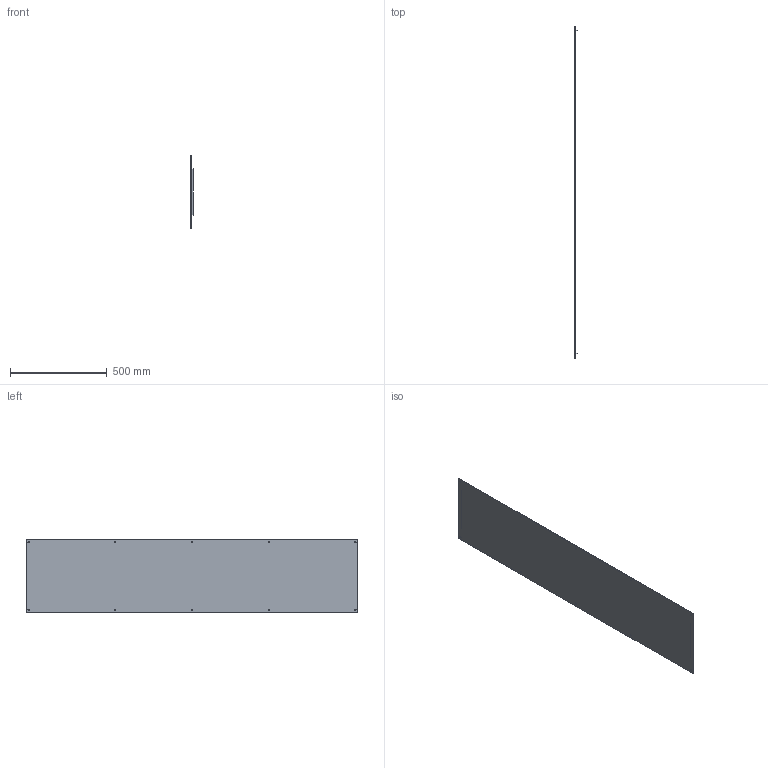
import cadquery as cq

panel_length = 1717.0
panel_height = 380.0
panel_thickness = 2.5
total_depth = 12.0

flange_thickness = 2.0
flange_height = 240.0
flange_end_gap = 21.0

hole_diameter = 7.0
hole_edge_inset = 15.0
hole_end_inset = 13.5
inner_hole_pitch = 400.0


def make_panel():
    return cq.Workplane("XY").box(
        panel_thickness, panel_length, panel_height, centered=(False, True, True)
    )


def make_flange(side):
    """Strip standing up to the full depth of the part; side is +1 or -1 along Y."""
    center_y = side * (panel_length / 2 - flange_end_gap - flange_thickness / 2)
    return (
        cq.Workplane("XY")
        .box(total_depth, flange_thickness, flange_height, centered=(False, True, True))
        .translate((0, center_y, 0))
    )


def make_hole_cutters():
    """Pins for five through holes in each of the two rows."""
    row_z = panel_height / 2 - hole_edge_inset
    end_y = panel_length / 2 - hole_end_inset
    columns = [-end_y, -inner_hole_pitch, 0, inner_hole_pitch, end_y]
    centers = [(y, z) for z in (-row_z, row_z) for y in columns]
    return (
        cq.Workplane("YZ")
        .pushPoints(centers)
        .circle(hole_diameter / 2)
        .extrude(panel_thickness)
    )


result = make_panel().cut(make_hole_cutters())
for side in (-1, 1):
    result = result.union(make_flange(side))